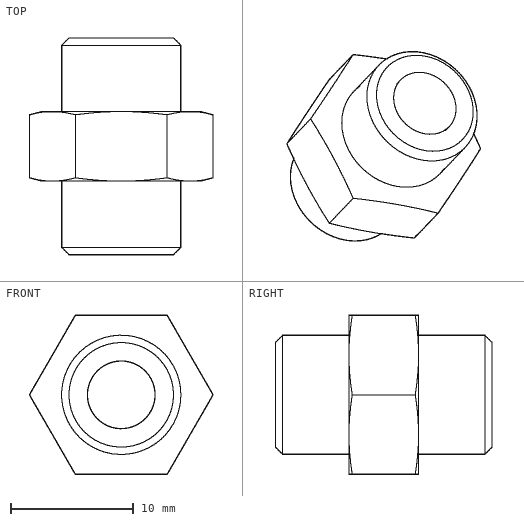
import cadquery as cq
import math

total_length = 17.7
hex_length = 5.68
end_diameter = 9.74
end_chamfer = 0.6
bore_diameter = 5.5
across_flats = 13.0
corner_chamfer_angle = 15.0

across_corners = across_flats / math.cos(math.radians(30))


def cylinder_along_y(diameter, length):
    return cq.Workplane("XZ").circle(diameter / 2).extrude(length / 2, both=True)


def chamfered_hexagon():
    """Hexagon with corners on X, its corners turned down by a shallow cone at both faces."""
    prism = cq.Workplane("XZ").polygon(6, across_corners).extrude(hex_length / 2, both=True)
    face_radius = across_flats / 2
    rim_radius = across_corners
    cone_drop = (rim_radius - face_radius) * math.tan(math.radians(corner_chamfer_angle))
    half_length = hex_length / 2
    rim_half_length = half_length - cone_drop
    envelope = (
        cq.Workplane("XY")
        .moveTo(0, -half_length)
        .lineTo(face_radius, -half_length)
        .lineTo(rim_radius, -rim_half_length)
        .lineTo(rim_radius, rim_half_length)
        .lineTo(face_radius, half_length)
        .lineTo(0, half_length)
        .close()
        .revolve(360, (0, 0, 0), (0, 1, 0))
    )
    return prism.intersect(envelope)


round_ends = cylinder_along_y(end_diameter, total_length).faces("<Y or >Y").chamfer(end_chamfer)
bore = cylinder_along_y(bore_diameter, total_length)

result = round_ends.union(chamfered_hexagon()).cut(bore)